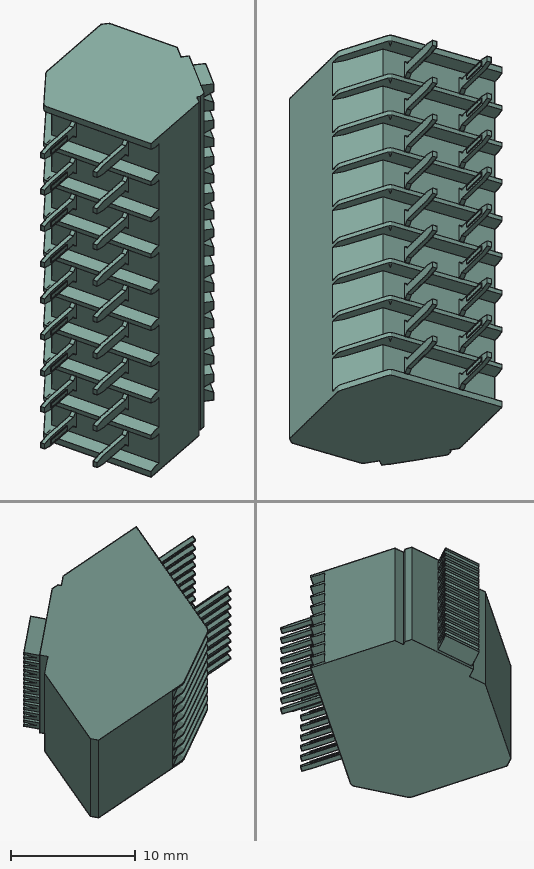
import cadquery as cq
import math

pole_count = 9
height = 32.2
fin_thickness = 0.7
pitch = (height - fin_thickness) / pole_count

width = 12.7
depth = 12.88
slant_x = 2.45
slant_y = 4.15
slant_left_radius = 0.8
slant_front_radius = 0.5
back_left_chamfer = 0.48
bevel_x = 6.95
ledge_start_x = 7.95
ledge_rise = 0.68
ledge_end_x = 12.33
ledge_end_y = 7.9

pocket_depth = 1.2
pocket_corner_x = 2.45
pocket_slant_end_y = 5.2
fin_bevel_height = 0.15
fin_bevel_width = 0.6
cut_margin = 0.32

button_length = 3.03
button_height = 1.32
button_width = 2.55
button_offset = 0.13
groove_width = 1.03
groove_depth = 1.03

pin_x = 4.6
pin_spacing = 5.0
pin_thickness = 0.4
pin_width = 0.85
pin_tip_y = -3.5
pin_tip_width = 0.48
pin_taper_length = 0.9
pin_root_width = 1.5
pin_neck_y = 0.77
pin_embed = 0.32
rib_thickness = 0.1
rib_height = 0.4
rib_start_y = -2.67
rib_end_y = -0.25

bevel_sum = bevel_x + depth
ledge_sum = bevel_sum + ledge_rise * math.sqrt(2)
ledge_step = ledge_rise / math.sqrt(2)
ledge_start_y = bevel_sum - ledge_start_x
ledge_foot_shift = (ledge_end_x + ledge_end_y - bevel_sum) / 2


def round_slant(solid, middle_z):
    """Round both upright edges of the front left slant of a prism whose mid height is middle_z."""
    corners = (
        (0, slant_y, slant_left_radius),
        (slant_x, 0, slant_front_radius),
    )
    for x, y, radius in corners:
        corner = cq.selectors.NearestToPointSelector((x, y, middle_z))
        solid = solid.edges(corner).fillet(radius)
    return solid


def make_envelope():
    """Full housing prism, before the pockets are taken out."""
    outline = [
        (slant_x, 0),
        (width, 0),
        (width, bevel_sum - width),
        (ledge_end_x - ledge_foot_shift, ledge_end_y - ledge_foot_shift),
        (ledge_end_x, ledge_end_y),
        (ledge_end_x, ledge_sum - ledge_end_x),
        (ledge_start_x + ledge_step, ledge_start_y + ledge_step),
        (ledge_start_x, ledge_start_y),
        (bevel_x, depth),
        (back_left_chamfer, depth),
        (0, depth - back_left_chamfer),
        (0, slant_y),
    ]
    prism = cq.Workplane("XY").polyline(outline).close().extrude(height)
    return round_slant(prism, height / 2)


def make_front_zone():
    """Space in front of the pocket floors, over the full height."""
    outline = [
        (-cut_margin, -cut_margin),
        (width + cut_margin, -cut_margin),
        (width + cut_margin, pocket_depth),
        (pocket_corner_x, pocket_depth),
        (0, pocket_slant_end_y),
        (-cut_margin, pocket_slant_end_y),
    ]
    return cq.Workplane("XY").polyline(outline).close().extrude(height)


def make_fin():
    """Fin centred on Z = 0, thinner towards its front and left edges.

    It runs past the right side and back into the housing, so that only the
    exposed edges are bevelled once it is trimmed to the envelope.
    """
    right = width + 2 * fin_bevel_width
    back = pocket_slant_end_y + 2 * fin_bevel_width
    outline = [(slant_x, 0), (right, 0), (right, back), (0, back), (0, slant_y)]
    edge_thickness = fin_thickness - 2 * fin_bevel_height
    taper = math.degrees(math.atan2(fin_bevel_width, fin_bevel_height))
    core = cq.Workplane("XY").polyline(outline).close().extrude(edge_thickness / 2, both=True)
    core = round_slant(core, 0)
    upper_bevel = core.faces(">Z").wires().toPending().workplane().extrude(
        fin_bevel_height, taper=taper, combine=False
    )
    return core.union(upper_bevel).union(upper_bevel.mirror("XY"))


def make_housing():
    """Solid core with evenly spaced fins and a flat plate closing each end."""
    envelope = make_envelope()
    housing = envelope.cut(make_front_zone())
    fin = make_fin()
    for level in range(pole_count + 1):
        placed_fin = fin.translate((0, 0, fin_thickness / 2 + level * pitch))
        housing = housing.union(placed_fin.intersect(envelope))

    plate_thickness = fin_thickness / 2
    slab = cq.Workplane("XY").box(2 * width, 2 * depth, plate_thickness, centered=(True, True, False))
    end_plate = envelope.intersect(slab)
    for plate_z in (0, height - plate_thickness):
        housing = housing.union(end_plate.translate((0, 0, plate_z)))
    return housing


def make_button():
    """Button centred on Z = 0, with a V groove running along the ledge.

    Its foot reaches below the ledge so that it joins the housing.
    """
    half_width = button_width / 2
    half_groove = groove_width / 2
    start_shift = button_offset / math.sqrt(2)
    start_point = (
        ledge_start_x + ledge_step + start_shift,
        ledge_start_y + ledge_step - start_shift,
        0,
    )
    along_ledge = (1, -1, 0)
    ledge_plane = cq.Plane(origin=start_point, xDir=(0, 0, -1), normal=along_ledge)
    section = [
        (-half_width, -button_height),
        (half_width, -button_height),
        (half_width, button_height),
        (half_groove, button_height),
        (0, button_height - groove_depth),
        (-half_groove, button_height),
        (-half_width, button_height),
    ]
    return cq.Workplane(ledge_plane).polyline(section).close().extrude(button_length)


def make_pin(rib_side):
    """Pin centred on X = 0 and Z = 0; rib_side is the sign of X the rib is on."""
    root_y = pin_neck_y + (pin_root_width - pin_width) / 2
    half_profile = [
        (pocket_depth + pin_embed, pin_root_width / 2),
        (root_y, pin_root_width / 2),
        (pin_neck_y, pin_width / 2),
        (pin_tip_y + pin_taper_length, pin_width / 2),
        (pin_tip_y, pin_tip_width / 2),
    ]
    profile = half_profile + [(y, -z) for y, z in reversed(half_profile)]
    blade = cq.Workplane("YZ").polyline(profile).close().extrude(pin_thickness / 2, both=True)
    rib = cq.Workplane("XY").box(2 * rib_thickness, rib_end_y - rib_start_y, rib_height)
    rib = rib.translate((rib_side * pin_thickness / 2, (rib_start_y + rib_end_y) / 2, 0))
    return blade.union(rib)


left_pin = make_pin(1).translate((pin_x, 0, 0))
right_pin = make_pin(-1).translate((pin_x + pin_spacing, 0, 0))
button = make_button()

result = make_housing()
for pole in range(pole_count):
    pole_z = fin_thickness / 2 + (pole + 0.5) * pitch
    for feature in (left_pin, right_pin, button):
        result = result.union(feature.translate((0, 0, pole_z)))